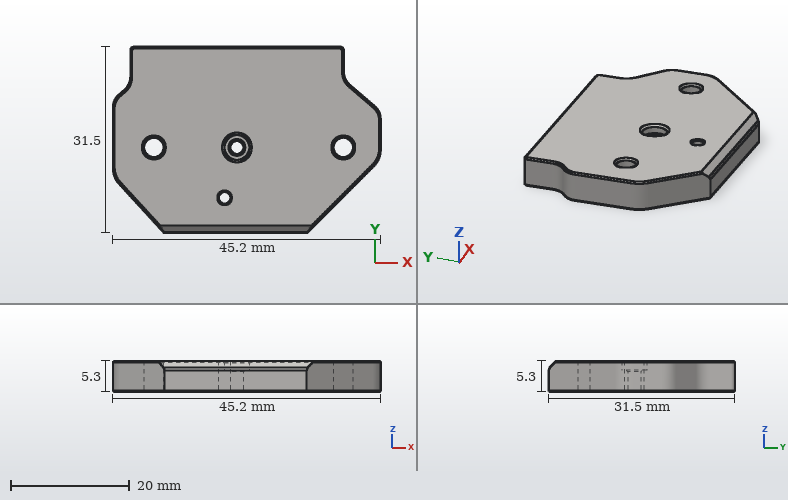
import cadquery as cq
import math

length = 45.2
depth = 31.45
thickness = 5.3

neck_left = 2.95
neck_right = 38.95
front_left = 8.72
front_right = 32.7
left_side_start = 9.5
left_side_end = 22.5
left_neck_start = 24.95
right_side_start = length - front_right
right_side_end = 20.5
right_neck_start = 25.85

front_corner_radius = 4.0
shoulder_radius = 3.0
neck_corner_radius = 0.7
edge_break = 0.3
front_bevel = 1.3

hole_row_y = 14.45
center_hole_x = 20.95
left_hole_offset = 14.0
side_hole_spacing = 31.95
left_hole_x = center_hole_x - left_hole_offset
right_hole_x = left_hole_x + side_hole_spacing
side_hole_diameter = 3.3
side_hole_chamfer = 0.35
counterbore_diameter = 4.2
counterbore_depth = 1.55
counterbore_chamfer = 0.4
center_hole_diameter = 2.2
center_hole_chamfer = 0.3
pin_hole_x = 18.85
pin_hole_y = 5.95
pin_hole_diameter = 2.0
pin_hole_chamfer = 0.23


def round_corners(body, corners, radius):
    """Fillet the vertical edges that stand on the given outline corners."""
    for x, y in corners:
        nearest = cq.selectors.NearestToPointSelector((x, y, thickness / 2))
        body = body.edges("|Z").edges(nearest).fillet(radius)
    return body


def make_plate():
    """Plate with rounded outline corners and chamfered top and bottom rims."""
    front_corners = [(0, left_side_start), (length, right_side_start)]
    shoulders = [
        (length, right_side_end),
        (neck_right, right_neck_start),
        (neck_left, left_neck_start),
        (0, left_side_end),
    ]
    neck_corners = [(neck_right, depth), (neck_left, depth)]
    outline = [
        (front_left, 0),
        (front_right, 0),
        front_corners[1],
        *shoulders[:2],
        *neck_corners,
        *shoulders[2:],
        front_corners[0],
    ]
    body = cq.Workplane("XY").polyline(outline).close().extrude(thickness)
    body = round_corners(body, front_corners, front_corner_radius)
    body = round_corners(body, shoulders, shoulder_radius)
    body = round_corners(body, neck_corners, neck_corner_radius)
    return body.faces("<Z or >Z").edges().chamfer(edge_break)


def make_front_bevel():
    """Cutter for the 45 degree front bevel and the small break on its lower edge."""
    break_leg = edge_break * math.sqrt(0.5)
    bevel_foot = thickness - front_bevel
    profile = [
        (0, thickness),
        (0, bevel_foot - edge_break),
        (break_leg, bevel_foot + break_leg),
        (front_bevel, thickness),
    ]
    return cq.Workplane("YZ").polyline(profile).close().extrude(length)


def make_hole(x, y, bottom, top, diameter, chamfer):
    """Cutter for a round hole between two heights, flared at its upper mouth."""
    radius = diameter / 2
    profile = [
        (0, bottom),
        (radius, bottom),
        (radius, top - chamfer),
        (radius + chamfer, top),
        (0, top),
    ]
    hole = cq.Workplane("XZ").polyline(profile).close().revolve(360, (0, 0), (0, 1))
    return hole.translate((x, y, 0))


def make_center_hole():
    """Cutter for the counterbored center hole, flared at both steps."""
    floor = thickness - counterbore_depth
    counterbore = make_hole(
        center_hole_x, hole_row_y, floor, thickness, counterbore_diameter, counterbore_chamfer
    )
    through_hole = make_hole(
        center_hole_x, hole_row_y, 0, floor, center_hole_diameter, center_hole_chamfer
    )
    return counterbore.union(through_hole)


result = make_plate().cut(make_front_bevel()).cut(make_center_hole())

for side_hole_x in (left_hole_x, right_hole_x):
    side_hole = make_hole(
        side_hole_x, hole_row_y, 0, thickness, side_hole_diameter, side_hole_chamfer
    )
    result = result.cut(side_hole)

pin_hole = make_hole(pin_hole_x, pin_hole_y, 0, thickness, pin_hole_diameter, pin_hole_chamfer)
result = result.cut(pin_hole)